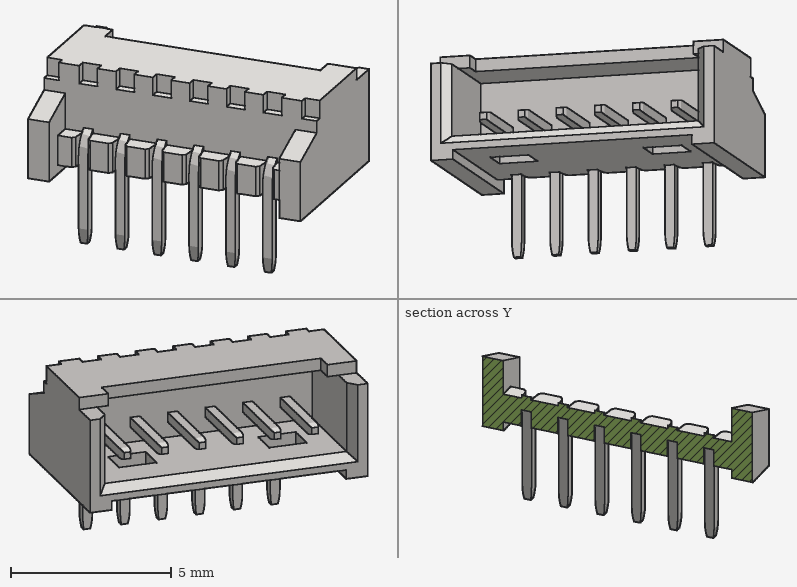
import cadquery as cq
import math


PIN_COUNT = 6
PITCH = 1.25
ROW_LENGTH = (PIN_COUNT - 1) * PITCH
PIN_POSITIONS = [i * PITCH - ROW_LENGTH / 2 for i in range(PIN_COUNT)]

WIDTH = ROW_LENGTH + 3.0
DEPTH = 5.5
HEIGHT = 3.5
FRONT_Y = 1.3
REAR_STEP_Y = 4.5
REAR_STEP_DROP = 0.4
WING_TOP_BACK = 2.5
WING_TOP_FRONT = 2.0
WING_THICKNESS = 0.72
STANDOFF = 0.3

SIDE_WALL = 0.6
FLOOR_THICKNESS = 0.5
FRONT_WALL = 0.8
CAVITY_WIDTH = WIDTH - 2 * SIDE_WALL
CAVITY_BOTTOM = STANDOFF + FLOOR_THICKNESS
CAVITY_TOP = HEIGHT - REAR_STEP_DROP
CAVITY_FRONT_Y = FRONT_Y + FRONT_WALL
MOUTH_DEPTH = 0.3
MOUTH_FLARE = 0.27
ROOF_CUT_WIDTH = 7.3
ROOF_CUT_Y = 3.9
WINDOW_END_Y = 4.05
WINDOW_LENGTH = 1.0

NOTCH_WIDTH = 0.62
NOTCH_DEPTH = 0.3
NOTCH_HEIGHT = 0.6
END_NOTCH_WIDTH = 0.5
END_NOTCH_DEPTH = 0.25

TEETH_FRONT_Y = 0.7
TEETH_TOP = 1.3
SLOT_MOUTH = 0.63
SLOT_THROAT = 0.43
CORNER_DEPTH = 0.1

PIN_SIZE = 0.32
TAIL_FRONT_Y = 0.89
TAIL_END_Z = -2.3
BEND_START_Z = 0.63
BEND_OUTER_RADIUS = 1.0
BEND_INNER_RADIUS = BEND_OUTER_RADIUS - PIN_SIZE
CONTACT_END_Y = 4.8
TIP_SIZE = 0.22
TAIL_TIP_LENGTH = 0.5
CONTACT_TIP_LENGTH = 0.3


def box(x_range, y_range, z_range):
    """Axis-aligned box given by its (low, high) limits."""
    size = [high - low for low, high in (x_range, y_range, z_range)]
    corner = (x_range[0], y_range[0], z_range[0])
    return cq.Workplane("XY").box(*size, centered=False).translate(corner)


def centred(width, middle=0.0):
    """Limits of a span of the given width about a middle."""
    return (middle - width / 2, middle + width / 2)


def make_shell():
    """Side profile swept across the width, opened at the front and underneath."""
    profile = [
        (0, 0),
        (DEPTH, 0),
        (DEPTH, HEIGHT - REAR_STEP_DROP),
        (REAR_STEP_Y, HEIGHT - REAR_STEP_DROP),
        (REAR_STEP_Y, HEIGHT),
        (FRONT_Y, HEIGHT),
        (FRONT_Y, WING_TOP_BACK),
        (0, WING_TOP_FRONT),
    ]
    shell = cq.Workplane("YZ").polyline(profile).close().extrude(WIDTH / 2, both=True)
    between_wings = centred(WIDTH - 2 * WING_THICKNESS)
    shell = shell.cut(box(between_wings, (0, FRONT_Y), (0, HEIGHT)))
    return shell.cut(box(between_wings, (0, DEPTH), (0, STANDOFF)))


def cut_cavity(body):
    """Mating cavity with a flared mouth, a cut-back roof and two floor windows."""
    body = body.cut(box(centred(CAVITY_WIDTH), (CAVITY_FRONT_Y, DEPTH), (CAVITY_BOTTOM, CAVITY_TOP)))
    body = body.cut(box(centred(ROOF_CUT_WIDTH), (ROOF_CUT_Y, DEPTH), (CAVITY_TOP, HEIGHT)))

    cavity_height = CAVITY_TOP - CAVITY_BOTTOM
    mouth = (
        cq.Workplane("XZ", origin=(0, DEPTH, CAVITY_TOP))
        .rect(CAVITY_WIDTH + 2 * MOUTH_FLARE, 2 * (cavity_height + MOUTH_FLARE))
        .workplane(offset=MOUTH_DEPTH)
        .rect(CAVITY_WIDTH, 2 * cavity_height)
        .loft(ruled=True)
    )
    body = body.cut(mouth)

    window_middle = (ROW_LENGTH - PITCH) / 2
    for side in (-1, 1):
        window = box(
            centred(PITCH, side * window_middle),
            (WINDOW_END_Y - WINDOW_LENGTH, WINDOW_END_Y),
            (STANDOFF, CAVITY_BOTTOM),
        )
        body = body.cut(window)
    return body


def cut_top_notches(body):
    """One notch above each pin and a shallower one at each end."""
    notch_z = (HEIGHT - NOTCH_HEIGHT, HEIGHT)
    for x in PIN_POSITIONS:
        body = body.cut(box(centred(NOTCH_WIDTH, x), (FRONT_Y, FRONT_Y + NOTCH_DEPTH), notch_z))
    end_middle = (WIDTH - END_NOTCH_WIDTH) / 2
    for side in (-1, 1):
        end_x = centred(END_NOTCH_WIDTH, side * end_middle)
        body = body.cut(box(end_x, (FRONT_Y, FRONT_Y + END_NOTCH_DEPTH), notch_z))
    return body


def make_teeth():
    """Comb in front of the wall with a tapered slot for each pin tail."""
    comb = box(centred(WIDTH - 2 * WING_THICKNESS), (TEETH_FRONT_Y, FRONT_Y), (STANDOFF, TEETH_TOP))
    throat_y = TEETH_FRONT_Y + CORNER_DEPTH
    slot_half = [
        (SLOT_MOUTH / 2, TEETH_FRONT_Y),
        (SLOT_THROAT / 2, throat_y),
        (PIN_SIZE / 2, FRONT_Y),
    ]
    slot_outline = slot_half + [(-x, y) for x, y in reversed(slot_half)]
    slot = cq.Workplane("XY", origin=(0, 0, STANDOFF)).polyline(slot_outline).close()
    slot = slot.extrude(TEETH_TOP - STANDOFF)
    for x in PIN_POSITIONS:
        comb = comb.cut(slot.translate((x, 0, 0)))
    return comb


def make_tip(length):
    """Pin end along +Z from the origin, its four sides curving in tangentially."""
    base = PIN_SIZE / 2
    end = TIP_SIZE / 2
    inset = base - end
    radius = (length**2 + inset**2) / (2 * inset)
    half_angle = math.asin(length / radius) / 2
    mid_x = base - radius * (1 - math.cos(half_angle))
    mid_z = radius * math.sin(half_angle)
    taper = (
        cq.Workplane("XZ")
        .moveTo(-base, 0)
        .lineTo(base, 0)
        .threePointArc((mid_x, mid_z), (end, length))
        .lineTo(-end, length)
        .threePointArc((-mid_x, mid_z), (-base, 0))
        .close()
        .extrude(base, both=True)
    )
    return taper.intersect(taper.rotate((0, 0, 0), (0, 0, 1), 90))


def make_pin():
    """Square pin with a vertical tail, a round bend and a horizontal contact."""
    tail_back_y = TAIL_FRONT_Y + PIN_SIZE
    bend_y = TAIL_FRONT_Y + BEND_OUTER_RADIUS
    contact_top = BEND_START_Z + BEND_OUTER_RADIUS
    contact_bottom = contact_top - PIN_SIZE
    tail_tip_z = TAIL_END_Z + TAIL_TIP_LENGTH
    contact_tip_y = CONTACT_END_Y - CONTACT_TIP_LENGTH
    diagonal = math.sqrt(0.5)
    outer_mid = (bend_y - BEND_OUTER_RADIUS * diagonal, BEND_START_Z + BEND_OUTER_RADIUS * diagonal)
    inner_mid = (bend_y - BEND_INNER_RADIUS * diagonal, BEND_START_Z + BEND_INNER_RADIUS * diagonal)
    shank = (
        cq.Workplane("YZ")
        .moveTo(TAIL_FRONT_Y, tail_tip_z)
        .lineTo(TAIL_FRONT_Y, BEND_START_Z)
        .threePointArc(outer_mid, (bend_y, contact_top))
        .lineTo(contact_tip_y, contact_top)
        .lineTo(contact_tip_y, contact_bottom)
        .lineTo(bend_y, contact_bottom)
        .threePointArc(inner_mid, (tail_back_y, BEND_START_Z))
        .lineTo(tail_back_y, tail_tip_z)
        .close()
        .extrude(PIN_SIZE / 2, both=True)
    )
    tail_tip = make_tip(TAIL_TIP_LENGTH).rotate((0, 0, 0), (1, 0, 0), 180)
    tail_tip = tail_tip.translate((0, TAIL_FRONT_Y + PIN_SIZE / 2, tail_tip_z))
    contact_tip = make_tip(CONTACT_TIP_LENGTH).rotate((0, 0, 0), (1, 0, 0), -90)
    contact_tip = contact_tip.translate((0, contact_tip_y, contact_top - PIN_SIZE / 2))
    return shank.union(tail_tip).union(contact_tip)


result = cut_top_notches(cut_cavity(make_shell())).union(make_teeth())
pin = make_pin()
for pin_x in PIN_POSITIONS:
    result = result.union(pin.translate((pin_x, 0, 0)))